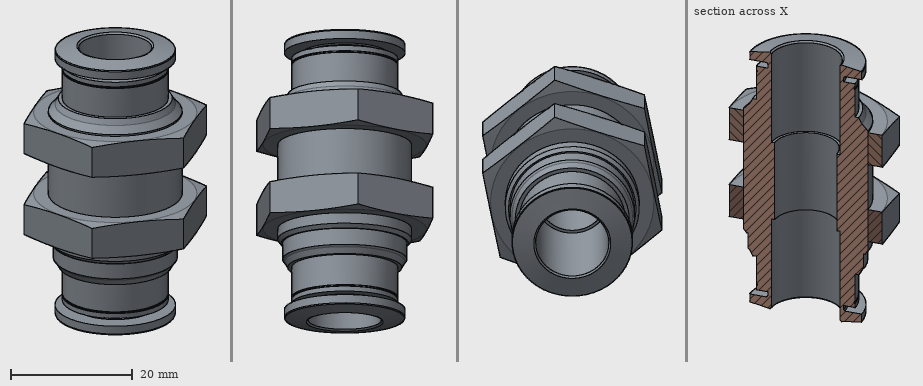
import cadquery as cq
import math

LENGTH = 47.6
HALF_LENGTH = LENGTH / 2

COLLAR_D = 19.8
FACE_BEVEL_D = 19.6
FACE_BEVEL_DEPTH = 0.55
COLLAR_EDGE_DEPTH = 0.75
COLLAR_DEPTH = 2.15
NECK_D = 13.4
NECK_DEPTH = 3.05
NECK_ROOT_D = 13.8
NECK_ROOT_DEPTH = 2.4

SLEEVE_D = 17.4
GROOVE_D = 17.15
GROOVE_DEPTH = 3.9
GROOVE_WIDTH = 0.25

BARREL_D = 22.0
SHOULDER_D = 18.7
UPPER_CONE_START_Z = 14.6
UPPER_CONE_BREAK_Z = 13.6
UPPER_CONE_BREAK_D = 19.8
UPPER_CONE_END_Z = 12.4
BARREL_BOTTOM_Z = -9.85
BARREL_CHAMFER_Z = -10.5
BARREL_CHAMFER_D = 20.9
PILOT_D = 20.4
PILOT_BOTTOM_Z = -13.25
LOWER_CONE_BREAK_Z = -13.55
LOWER_CONE_BREAK_D = 19.8
LOWER_CONE_END_Z = -14.55

BORE_D = 11.0
SOCKET_D = 12.0
SOCKET_MOUTH_D = 12.6
SOCKET_MOUTH_DEPTH = 0.3
SOCKET_DEPTH = 16.65

NUT_FLATS = 27.0
NUT_CORNERS = NUT_FLATS / math.cos(math.pi / 6)
NUT_HEIGHT = 6.0
NUT_FACE_D = 26.8
NUT_CORNER_DROP = 0.4
NUT_BOTTOMS_Z = (6.15, -8.1)


def end_profile(direction):
    """Outer half-profile of one end, from its face to its sleeve groove."""
    diameter_depth = [
        (SOCKET_MOUTH_D, 0),
        (FACE_BEVEL_D, FACE_BEVEL_DEPTH),
        (COLLAR_D, COLLAR_EDGE_DEPTH),
        (COLLAR_D, COLLAR_DEPTH),
        (NECK_ROOT_D, COLLAR_DEPTH),
        (NECK_D, NECK_ROOT_DEPTH),
        (NECK_D, NECK_DEPTH),
        (SLEEVE_D, NECK_DEPTH),
        (SLEEVE_D, GROOVE_DEPTH),
        (GROOVE_D, GROOVE_DEPTH),
        (GROOVE_D, GROOVE_DEPTH + GROOVE_WIDTH),
        (SLEEVE_D, GROOVE_DEPTH + GROOVE_WIDTH),
    ]
    return [(d / 2, direction * (HALF_LENGTH - depth)) for d, depth in diameter_depth]


def socket_profile(direction):
    """Inner half-profile of one end, from its mouth to the tube stop."""
    diameter_depth = [
        (SOCKET_D, SOCKET_MOUTH_DEPTH),
        (SOCKET_D, SOCKET_DEPTH),
        (BORE_D, SOCKET_DEPTH),
    ]
    return [(d / 2, direction * (HALF_LENGTH - depth)) for d, depth in diameter_depth]


def make_fitting():
    """Bored, turned fitting with a collar at each end."""
    barrel_profile = [
        (SLEEVE_D / 2, UPPER_CONE_START_Z),
        (SHOULDER_D / 2, UPPER_CONE_START_Z),
        (UPPER_CONE_BREAK_D / 2, UPPER_CONE_BREAK_Z),
        (BARREL_D / 2, UPPER_CONE_END_Z),
        (BARREL_D / 2, BARREL_BOTTOM_Z),
        (BARREL_CHAMFER_D / 2, BARREL_CHAMFER_Z),
        (PILOT_D / 2, BARREL_CHAMFER_Z),
        (PILOT_D / 2, PILOT_BOTTOM_Z),
        (LOWER_CONE_BREAK_D / 2, LOWER_CONE_BREAK_Z),
        (SHOULDER_D / 2, LOWER_CONE_END_Z),
        (SLEEVE_D / 2, LOWER_CONE_END_Z),
    ]
    outside = end_profile(1) + barrel_profile + end_profile(-1)[::-1]
    inside = socket_profile(-1) + socket_profile(1)[::-1]
    return cq.Workplane("XZ").polyline(outside + inside).close().revolve(360, (0, 0), (0, 1))


def make_nut(bottom_z):
    """Hexagonal nut with conically chamfered corners on both faces."""
    hexagon = cq.Workplane("XY").polygon(6, NUT_CORNERS).extrude(NUT_HEIGHT)
    chamfer_envelope = (
        cq.Workplane("XZ")
        .polyline([
            (BARREL_D / 2, 0),
            (NUT_FACE_D / 2, 0),
            (NUT_CORNERS / 2, NUT_CORNER_DROP),
            (NUT_CORNERS / 2, NUT_HEIGHT - NUT_CORNER_DROP),
            (NUT_FACE_D / 2, NUT_HEIGHT),
            (BARREL_D / 2, NUT_HEIGHT),
        ])
        .close()
        .revolve(360, (0, 0), (0, 1))
    )
    return hexagon.intersect(chamfer_envelope).translate((0, 0, bottom_z))


fitting = make_fitting()
nuts = [make_nut(bottom_z) for bottom_z in NUT_BOTTOMS_Z]

result = cq.Compound.makeCompound([fitting.val(), *[nut.val() for nut in nuts]])